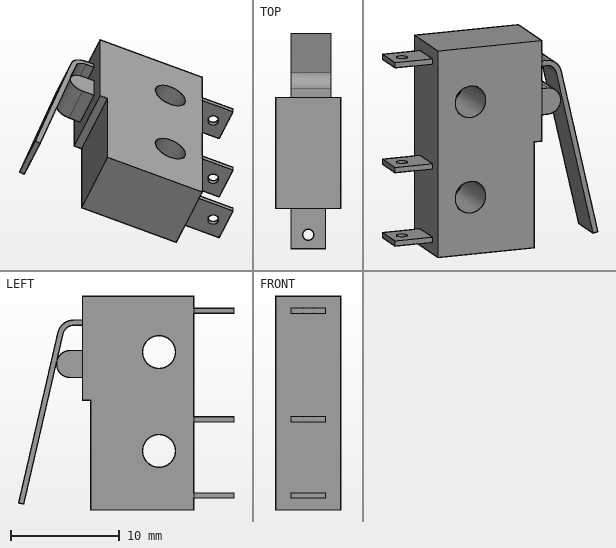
import cadquery as cq
import math

CASE_WIDTH = 6.0
CASE_HEIGHT = 19.7
CASE_DEPTH_LOWER = 9.5
CASE_DEPTH_UPPER = 10.25
STEP_HEIGHT = 10.1

MOUNT_HOLE_DIAMETER = 3.0
MOUNT_HOLE_Y = 3.2
MOUNT_HOLE_LOWER_Z = 5.45
MOUNT_HOLE_PITCH = 9.1

TERMINAL_LENGTH = 3.7
TERMINAL_WIDTH = 3.2
TERMINAL_THICKNESS = 0.5
TERMINAL_BOTTOMS = (1.1, 8.1, 18.1)
TERMINAL_HOLE_DIAMETER = 1.0
TERMINAL_HOLE_Y = -2.4

PLUNGER_THICKNESS = 2.5
PLUNGER_TIP_Y = 12.63
PLUNGER_Z = 13.45
PLUNGER_WIDTH = 3.2

LEVER_WIDTH = 3.7
LEVER_THICKNESS = 0.5
LEVER_TOP = 17.5
LEVER_BEND_Y = 11.05
LEVER_BEND_OUTER_RADIUS = 1.5
LEVER_LEAN = 13.0
LEVER_REACH_Y = 16.13

MID_X = CASE_WIDTH / 2
FITTING_X = MID_X - TERMINAL_WIDTH / 2


def make_case():
    """Stepped block with two mounting holes."""
    outline = [
        (0, 0),
        (CASE_DEPTH_LOWER, 0),
        (CASE_DEPTH_LOWER, STEP_HEIGHT),
        (CASE_DEPTH_UPPER, STEP_HEIGHT),
        (CASE_DEPTH_UPPER, CASE_HEIGHT),
        (0, CASE_HEIGHT),
    ]
    hole_centres = [
        (MOUNT_HOLE_Y, MOUNT_HOLE_LOWER_Z),
        (MOUNT_HOLE_Y, MOUNT_HOLE_LOWER_Z + MOUNT_HOLE_PITCH),
    ]
    block = cq.Workplane("YZ").polyline(outline).close().extrude(CASE_WIDTH)
    holes = (
        cq.Workplane("YZ")
        .pushPoints(hole_centres)
        .circle(MOUNT_HOLE_DIAMETER / 2)
        .extrude(CASE_WIDTH)
    )
    return block.cut(holes)


def make_terminal(bottom):
    """Flat blade with a wire hole, its underside at the given height."""
    blade = (
        cq.Workplane("XY", origin=(FITTING_X, -TERMINAL_LENGTH, bottom))
        .rect(TERMINAL_WIDTH, TERMINAL_LENGTH, centered=False)
        .extrude(TERMINAL_THICKNESS)
    )
    wire_hole = (
        cq.Workplane("XY", origin=(MID_X, TERMINAL_HOLE_Y, bottom))
        .circle(TERMINAL_HOLE_DIAMETER / 2)
        .extrude(TERMINAL_THICKNESS)
    )
    return blade.cut(wire_hole)


def make_plunger():
    """Plate standing out of the lever face, with a half-round tip."""
    radius = PLUNGER_THICKNESS / 2
    round_start = PLUNGER_TIP_Y - radius
    return (
        cq.Workplane("YZ", origin=(FITTING_X, 0, 0))
        .moveTo(CASE_DEPTH_UPPER, PLUNGER_Z - radius)
        .lineTo(round_start, PLUNGER_Z - radius)
        .threePointArc((PLUNGER_TIP_Y, PLUNGER_Z), (round_start, PLUNGER_Z + radius))
        .lineTo(CASE_DEPTH_UPPER, PLUNGER_Z + radius)
        .close()
        .extrude(PLUNGER_WIDTH)
    )


def make_lever():
    """Sheet strip that leaves the case level, then bends down into a leaning arm."""
    outer = LEVER_BEND_OUTER_RADIUS
    inner = outer - LEVER_THICKNESS
    bend_z = LEVER_TOP - outer
    lean = math.radians(LEVER_LEAN)
    half_bend = (math.pi / 2 + lean) / 2

    def on_bend(radius, angle):
        return (LEVER_BEND_Y + radius * math.cos(angle), bend_z + radius * math.sin(angle))

    outer_end = on_bend(outer, lean)
    inner_end = on_bend(inner, lean)
    arm_length = (LEVER_REACH_Y - outer_end[0]) / math.sin(lean)

    def along_arm(start):
        return (start[0] + arm_length * math.sin(lean), start[1] - arm_length * math.cos(lean))

    return (
        cq.Workplane("YZ", origin=(FITTING_X, 0, 0))
        .moveTo(CASE_DEPTH_UPPER, LEVER_TOP)
        .lineTo(LEVER_BEND_Y, LEVER_TOP)
        .threePointArc(on_bend(outer, half_bend), outer_end)
        .lineTo(*along_arm(outer_end))
        .lineTo(*along_arm(inner_end))
        .lineTo(*inner_end)
        .threePointArc(on_bend(inner, half_bend), (LEVER_BEND_Y, LEVER_TOP - LEVER_THICKNESS))
        .lineTo(CASE_DEPTH_UPPER, LEVER_TOP - LEVER_THICKNESS)
        .close()
        .extrude(LEVER_WIDTH)
    )


result = make_case().union(make_plunger()).union(make_lever())
for terminal_bottom in TERMINAL_BOTTOMS:
    result = result.union(make_terminal(terminal_bottom))